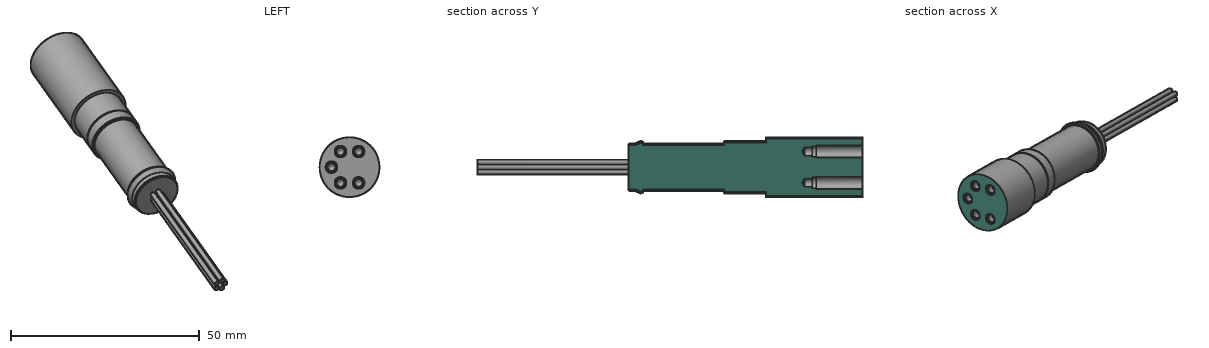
import cadquery as cq
import math

TOTAL_LENGTH = 102.1
HEAD_END = 25.6
COLLAR_END = 36.8
SLEEVE_END = 62.1

HEAD_DIAMETER = 15.9
COLLAR_DIAMETER = 14.0
SLEEVE_DIAMETER = 12.7

GROOVE_START = 33.4
GROOVE_WIDTH = 0.15
GROOVE_DEPTH = 0.1
COLLAR_CHAMFER = 0.2

BARB_START = 58.2
BARB_PEAK = 58.8
BARB_FACE_HEIGHT = 0.4
BARB_END = 60.3
BARB_DIAMETER = 14.0
SLEEVE_CHAMFER = 0.3

SOCKET_CIRCLE_RADIUS = 4.8
SOCKET_ANGLES = (0, 60, 120, 240, 300)
SOCKET_DIAMETER = 3.2
SOCKET_DEPTH = 12.3
SOCKET_STEP_DIAMETER = 2.8
SOCKET_STEP_DEPTH = 1.0
CONTACT_BORE_DIAMETER = 2.0
CONTACT_BORE_DEPTH = 2.0
DRILL_POINT_ANGLE = 118

WIRE_COUNT = 5
WIRE_DIAMETER = 1.3
WIRE_CIRCLE_RADIUS = 1.38


def polar_point(radius, angle):
    """Point (Y, Z) at an angle in degrees, turning from +Y towards +Z."""
    turn = math.radians(angle)
    return radius * math.cos(turn), radius * math.sin(turn)


def revolve_about_x(outline):
    """Solid of revolution about X from a closed (X, radius) outline."""
    return cq.Workplane("XY").polyline(outline).close().revolve(360, (0, 0, 0), (1, 0, 0))


def make_body():
    head = HEAD_DIAMETER / 2
    collar = COLLAR_DIAMETER / 2
    sleeve = SLEEVE_DIAMETER / 2
    outline = [
        (0, 0),
        (0, head),
        (HEAD_END, head),
        (HEAD_END, collar),
        (GROOVE_START, collar),
        (GROOVE_START, collar - GROOVE_DEPTH),
        (GROOVE_START + GROOVE_WIDTH, collar - GROOVE_DEPTH),
        (GROOVE_START + GROOVE_WIDTH, collar),
        (COLLAR_END - COLLAR_CHAMFER, collar),
        (COLLAR_END, collar - COLLAR_CHAMFER),
        (COLLAR_END, sleeve),
        (BARB_START, sleeve),
        (BARB_START, sleeve + BARB_FACE_HEIGHT),
        (BARB_PEAK, BARB_DIAMETER / 2),
        (BARB_END, sleeve),
        (SLEEVE_END - SLEEVE_CHAMFER, sleeve),
        (SLEEVE_END, sleeve - SLEEVE_CHAMFER),
        (SLEEVE_END, 0),
    ]
    return revolve_about_x(outline)


def make_socket():
    """Stepped socket along X with a conical drill point, starting at the mating face."""
    wide = SOCKET_DIAMETER / 2
    narrow = CONTACT_BORE_DIAMETER / 2
    step = SOCKET_STEP_DIAMETER / 2
    step_end = SOCKET_DEPTH + SOCKET_STEP_DEPTH
    bore_end = step_end + CONTACT_BORE_DEPTH
    point_length = narrow / math.tan(math.radians(DRILL_POINT_ANGLE / 2))
    outline = [
        (0, 0),
        (0, wide),
        (SOCKET_DEPTH, wide),
        (SOCKET_DEPTH, step),
        (step_end, step),
        (step_end, narrow),
        (bore_end, narrow),
        (bore_end + point_length, 0),
    ]
    return revolve_about_x(outline)


def cut_sockets(body):
    socket = make_socket()
    for angle in SOCKET_ANGLES:
        y, z = polar_point(SOCKET_CIRCLE_RADIUS, angle)
        body = body.cut(socket.translate((0, y, z)))
    return body


def make_wires():
    step = 360 / WIRE_COUNT
    points = [polar_point(WIRE_CIRCLE_RADIUS, i * step) for i in range(WIRE_COUNT)]
    plane = cq.Workplane("YZ", origin=(SLEEVE_END, 0, 0))
    return plane.pushPoints(points).circle(WIRE_DIAMETER / 2).extrude(TOTAL_LENGTH - SLEEVE_END)


result = cut_sockets(make_body()).union(make_wires())